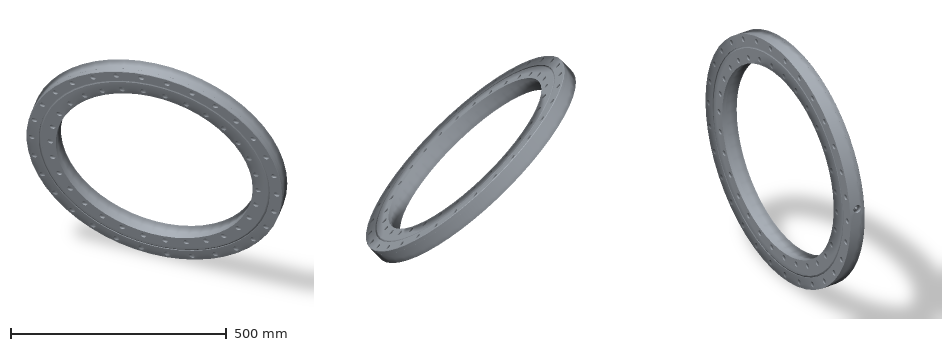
import cadquery as cq
import math


outer_radius = 311.0
bore_radius = 239.25
total_width = 40.0
cover_width = 10.0
rim_chamfer = 1.0
front_y = -total_width / 2
back_y = total_width / 2

gap_outer_radius = 281.0
gap_inner_radius = 274.0

seal_width = 8.0
seal_flat = 2.75
seal_bevel_depth = 2.5

bolt_count = 30
bolt_hole_diameter = 13.5
outer_bolt_radius = 297.5
inner_bolt_radius = 252.5

port_angle = 180.0 - 360.0 / bolt_count / 2
port_diameter = 20.0
port_depth = 10.0

nipple_shank_diameter = 8.0
nipple_shank_length = 8.0
nipple_base_diameter = 11.0
nipple_base_height = 3.0
nipple_head_diameter = 6.5
nipple_tip_diameter = 3.0
nipple_height = 8.0


def revolve_about_y(points):
    """Turn a closed (radius, y) outline about the Y axis."""
    return cq.Workplane("XY").polyline(points).close().revolve(360, (0, 0), (0, 1))


def plain_ring(inner_radius, ring_outer_radius, y_start, y_end):
    return revolve_about_y([
        (inner_radius, y_start),
        (ring_outer_radius, y_start),
        (ring_outer_radius, y_end),
        (inner_radius, y_end),
    ])


def bolt_holes(circle_radius):
    """Cutting cylinders through the full width on one bolt circle."""
    return (
        cq.Workplane("XZ", origin=(0, back_y, 0))
        .polarArray(circle_radius, 0, 360, bolt_count)
        .circle(bolt_hole_diameter / 2)
        .extrude(total_width)
    )


def port_cylinder(diameter, start_radius, end_radius):
    """Radial cylinder on the grease port axis."""
    angle = math.radians(port_angle)
    direction = cq.Vector(math.cos(angle), 0, math.sin(angle))
    return cq.Workplane(
        cq.Solid.makeCylinder(diameter / 2, end_radius - start_radius, direction * start_radius, direction)
    )


def make_outer_cover():
    cover = revolve_about_y([
        (gap_outer_radius, front_y),
        (outer_radius - rim_chamfer, front_y),
        (outer_radius, front_y + rim_chamfer),
        (outer_radius, front_y + cover_width),
        (gap_outer_radius, front_y + cover_width),
    ])
    return cover.cut(bolt_holes(outer_bolt_radius))


port_floor_radius = outer_radius - port_depth
shank_end_radius = port_floor_radius - nipple_shank_length


def make_outer_ring():
    ring = plain_ring(gap_outer_radius, outer_radius, front_y + cover_width, back_y)
    ring = ring.cut(bolt_holes(outer_bolt_radius))
    ring = ring.cut(port_cylinder(port_diameter, port_floor_radius, outer_radius + port_depth))
    return ring.cut(port_cylinder(nipple_shank_diameter, shank_end_radius, port_floor_radius))


def make_inner_ring():
    ring = plain_ring(bore_radius, gap_inner_radius, front_y, back_y - cover_width)
    return ring.cut(bolt_holes(inner_bolt_radius))


def make_inner_cover():
    cover = plain_ring(bore_radius, gap_inner_radius, back_y - cover_width, back_y)
    return cover.cut(bolt_holes(inner_bolt_radius))


def make_seal(face_y, inward):
    """Seal ring with a bevelled face; inward is the Y sense from its face into the gap."""
    return revolve_about_y([
        (gap_inner_radius, face_y),
        (gap_inner_radius + seal_flat, face_y),
        (gap_outer_radius, face_y + inward * seal_bevel_depth),
        (gap_outer_radius, face_y + inward * seal_width),
        (gap_inner_radius, face_y + inward * seal_width),
    ])


def make_nipple():
    base_top = nipple_shank_length + nipple_base_height
    top = nipple_shank_length + nipple_height
    profile = [
        (0, 0),
        (nipple_shank_diameter / 2, 0),
        (nipple_shank_diameter / 2, nipple_shank_length),
        (nipple_base_diameter / 2, nipple_shank_length),
        (nipple_base_diameter / 2, base_top),
        (nipple_head_diameter / 2, base_top),
        (nipple_tip_diameter / 2, top),
        (0, top),
    ]
    return (
        revolve_about_y(profile)
        .rotate((0, 0, 0), (0, 0, 1), -90)
        .translate((shank_end_radius, 0, 0))
        .rotate((0, 0, 0), (0, 1, 0), -port_angle)
    )


outer_cover = make_outer_cover()
outer_ring = make_outer_ring()
inner_ring = make_inner_ring()
inner_cover = make_inner_cover()
seals = [make_seal(front_y, 1), make_seal(back_y, -1)]
nipple = make_nipple()

result = cq.Compound.makeCompound([
    outer_cover.val(),
    outer_ring.val(),
    inner_ring.val(),
    inner_cover.val(),
    *[seal.val() for seal in seals],
    nipple.val(),
])